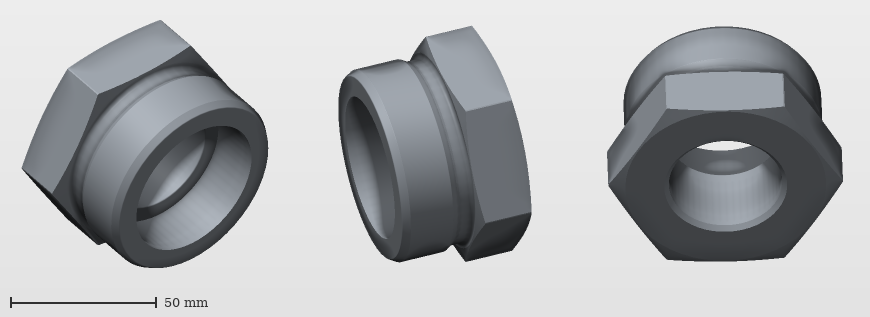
import cadquery as cq
import math

LENGTH = 46.0
HEX_LENGTH = 20.0
ACROSS_FLATS = 70.0
CORNER_DIAMETER = 80.57
HEX_FACE_DIAMETER = 69.0
HEX_CHAMFER_ANGLE = 15.0

SPIGOT_DIAMETER = 68.0
UNDERCUT_DIAMETER = 64.9
UNDERCUT_LENGTH = 5.1
SLOPE_ANGLE = 30.0
UNDERCUT_FILLET = 1.5
EDGE_ROUND = 0.5

BORE_DIAMETER = 39.0
BORE_MOUTH_DIAMETER = 42.2
BORE_CHAMFER_ANGLE = 45.0
COUNTERBORE_DIAMETER = 50.26
COUNTERBORE_START = 27.5

SELECTION_MARGIN = 0.05


def tan_degrees(angle):
    return math.tan(math.radians(angle))


def revolve_about_x(profile):
    return profile.close().revolve(360, (0, 0, 0), (1, 0, 0))


def hexagon_head():
    """Hexagon with two corners on the Y axis, trimmed by a turned, double-chamfered blank."""
    across_corners = ACROSS_FLATS / math.cos(math.radians(30))
    hexagon = cq.Workplane("YZ").polygon(6, across_corners).extrude(HEX_LENGTH)

    face_radius = HEX_FACE_DIAMETER / 2
    corner_radius = CORNER_DIAMETER / 2
    chamfer_length = (corner_radius - face_radius) * tan_degrees(HEX_CHAMFER_ANGLE)
    blank = revolve_about_x(
        cq.Workplane("XY")
        .lineTo(0, face_radius)
        .lineTo(chamfer_length, corner_radius)
        .lineTo(HEX_LENGTH - chamfer_length, corner_radius)
        .lineTo(HEX_LENGTH, face_radius)
        .lineTo(HEX_LENGTH, 0)
    )
    return hexagon.intersect(blank)


def circle_edge_at(x, radius):
    """Selector for the circular edge of this radius, centred on the X axis at x."""
    reach = radius + SELECTION_MARGIN
    return cq.selectors.BoxSelector(
        (x - SELECTION_MARGIN, -reach, -reach),
        (x + SELECTION_MARGIN, reach, reach),
        boundingbox=True,
    )


def spigot():
    """Turned spigot with a filleted undercut, a sloped run-out and an end chamfer."""
    spigot_radius = SPIGOT_DIAMETER / 2
    undercut_radius = UNDERCUT_DIAMETER / 2
    slope_length = (spigot_radius - undercut_radius) / tan_degrees(SLOPE_ANGLE)
    slope_foot = HEX_LENGTH + UNDERCUT_LENGTH
    slope_top = slope_foot + slope_length
    chamfer_start = LENGTH - slope_length

    quarter_middle = UNDERCUT_FILLET * (1 - math.sqrt(0.5))

    turned = revolve_about_x(
        cq.Workplane("XY")
        .moveTo(HEX_LENGTH, 0)
        .lineTo(HEX_LENGTH, undercut_radius + UNDERCUT_FILLET)
        .threePointArc(
            (HEX_LENGTH + quarter_middle, undercut_radius + quarter_middle),
            (HEX_LENGTH + UNDERCUT_FILLET, undercut_radius),
        )
        .lineTo(slope_foot, undercut_radius)
        .lineTo(slope_top, spigot_radius)
        .lineTo(chamfer_start, spigot_radius)
        .lineTo(LENGTH, undercut_radius)
        .lineTo(LENGTH, 0)
    )
    turned = turned.edges(circle_edge_at(slope_foot, undercut_radius)).fillet(UNDERCUT_FILLET)
    for x, radius in (
        (slope_top, spigot_radius),
        (chamfer_start, spigot_radius),
        (LENGTH, undercut_radius),
    ):
        turned = turned.edges(circle_edge_at(x, radius)).fillet(EDGE_ROUND)
    return turned


def bore():
    """Through bore: chamfered mouth at the hexagon, counterbore from the spigot end."""
    bore_radius = BORE_DIAMETER / 2
    mouth_radius = BORE_MOUTH_DIAMETER / 2
    counterbore_radius = COUNTERBORE_DIAMETER / 2
    chamfer_length = (mouth_radius - bore_radius) / tan_degrees(BORE_CHAMFER_ANGLE)
    return revolve_about_x(
        cq.Workplane("XY")
        .lineTo(0, mouth_radius)
        .lineTo(chamfer_length, bore_radius)
        .lineTo(COUNTERBORE_START, bore_radius)
        .lineTo(COUNTERBORE_START, counterbore_radius)
        .lineTo(LENGTH, counterbore_radius)
        .lineTo(LENGTH, 0)
    )


def adapter():
    """Head and spigot joined and bored, with the inner bore edge rounded."""
    body = hexagon_head().union(spigot()).cut(bore())
    return body.edges(circle_edge_at(COUNTERBORE_START, BORE_DIAMETER / 2)).fillet(EDGE_ROUND)


result = adapter()